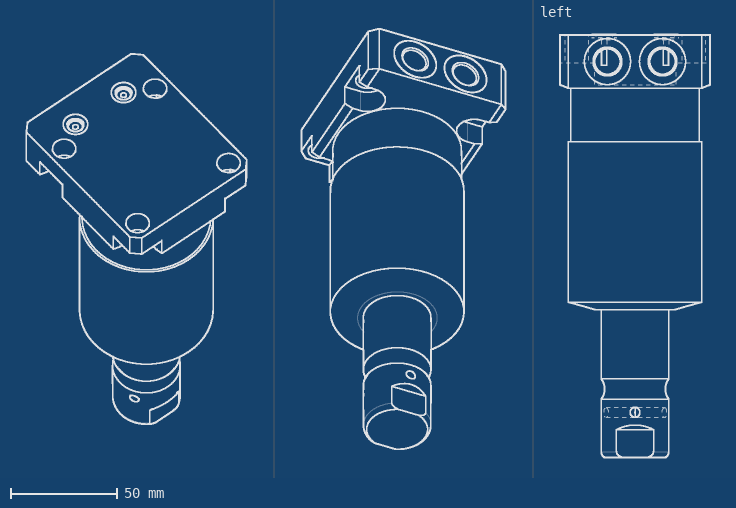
import cadquery as cq
import math


TOTAL_HEIGHT = 199.4
FLANGE_HEIGHT = 25.1
NECK_HEIGHT = 25.1
SEAL_PROTRUSION = 0.4
FLANGE_TOP = TOTAL_HEIGHT - SEAL_PROTRUSION
FLANGE_BOTTOM = FLANGE_TOP - FLANGE_HEIGHT
BODY_TOP = FLANGE_BOTTOM - NECK_HEIGHT

FLANGE_LENGTH = 85.5
FLANGE_WIDTH = 70.8
FLANGE_RIGHT = FLANGE_WIDTH / 2
FLANGE_LEFT = FLANGE_RIGHT - FLANGE_LENGTH
CORNER_CHAMFER = 4.0
BEVEL_INSET = 4.0
BEVEL_RISE = 1.5

MOUNT_OFFSET = 27.5
MOUNT_DIAMETER = 11.0
POCKET_RADIUS = 8.4
POCKET_HEIGHT = 12.0

PORT_OFFSET = 13.0
PORT_DIAMETER = 12.0
PORT_CHAMFER = 0.8
PORT_DEPTH = 14.5
SPOTFACE_DIAMETER = 21.7
SPOTFACE_DEPTH = 0.2

PASSAGE_X = -35.0
PASSAGE_OFFSET = 14.5
PASSAGE_DIAMETER = 2.5
PASSAGE_DEPTH = 14.4
SEAT_RADIUS = 5.8
SEAT_DEPTH = 1.4
RECESS_RADIUS = 3.4
RECESS_DEPTH = 2.2
SEAL_TUBE_RADIUS = 1.0
SEAL_SQUEEZE = 0.1
SEAL_MEAN_RADIUS = SEAT_RADIUS + SEAL_SQUEEZE - SEAL_TUBE_RADIUS

NECK_RADIUS = 30.3
BODY_RADIUS = 31.5
CONE_TOP = 73.2
CONE_BOTTOM = 69.5
CONE_END_RADIUS = 18.7
ROD_RADIUS = 16.0
GROOVE_TOP = 37.0
GROOVE_BOTTOM = 27.5
GROOVE_DEPTH = 1.5
TIP_ROUND_RADIUS = 3.4
TIP_INSET = 1.5

FLAT_HALF_WIDTH = 13.4
FLAT_TOP = 13.2
FLAT_RUNOUT = 2.2
CROSS_HOLE_Z = 21.3
CROSS_HOLE_DIAMETER = 4.5
CROSS_HOLE_COUNT = 3


def bevel_cutter(length):
    """Wedge along X that bevels a lower edge lying on the X axis, with material on the +Y side."""
    return (
        cq.Workplane("YZ")
        .polyline([(0, 0), (BEVEL_INSET, 0), (0, BEVEL_RISE)])
        .close()
        .extrude(length / 2, both=True)
    )


def flange_plate():
    """Plate with chamfered corners and three bevelled lower edges."""
    plate = (
        cq.Workplane("XY", origin=(FLANGE_RIGHT - FLANGE_LENGTH / 2, 0, FLANGE_BOTTOM))
        .rect(FLANGE_LENGTH, FLANGE_WIDTH)
        .extrude(FLANGE_HEIGHT)
        .edges("|Z")
        .chamfer(CORNER_CHAMFER)
    )
    edge_cutter = bevel_cutter(2 * FLANGE_LENGTH).translate((0, -FLANGE_WIDTH / 2, FLANGE_BOTTOM))
    for angle in (0, 90, 180):
        plate = plate.cut(edge_cutter.rotate((0, 0, 0), (0, 0, 1), angle))
    return plate


def mount_pocket(x, side, opens_right):
    """Pocket around a mounting hole, open to the long side and, if asked, to the right end."""
    y = side * MOUNT_OFFSET
    base = cq.Workplane("XY", origin=(x, y, FLANGE_BOTTOM))
    pocket = base.circle(POCKET_RADIUS).extrude(POCKET_HEIGHT)
    reach = 2 * POCKET_RADIUS
    slot = base.center(0, side * reach / 2).rect(2 * POCKET_RADIUS, reach).extrude(POCKET_HEIGHT)
    pocket = pocket.union(slot)
    if opens_right:
        corner = base.center(reach / 2, side * POCKET_RADIUS / 2)
        end_slot = corner.rect(reach, reach + POCKET_RADIUS).extrude(POCKET_HEIGHT)
        pocket = pocket.union(end_slot)
    return pocket


def revolved_body():
    """Neck, body, cone and grooved rod as one solid of revolution."""
    groove_middle = (GROOVE_TOP + GROOVE_BOTTOM) / 2
    tip_radius = ROD_RADIUS - TIP_INSET
    tip_angle = math.acos(1 - TIP_INSET / TIP_ROUND_RADIUS)
    tip_height = TIP_ROUND_RADIUS * math.sin(tip_angle)
    round_centre = ROD_RADIUS - TIP_ROUND_RADIUS
    tip_middle = (
        round_centre + TIP_ROUND_RADIUS * math.cos(tip_angle / 2),
        tip_height - TIP_ROUND_RADIUS * math.sin(tip_angle / 2),
    )
    return (
        cq.Workplane("XZ")
        .moveTo(0, FLANGE_BOTTOM)
        .lineTo(NECK_RADIUS, FLANGE_BOTTOM)
        .lineTo(NECK_RADIUS, BODY_TOP)
        .lineTo(BODY_RADIUS, BODY_TOP)
        .lineTo(BODY_RADIUS, CONE_TOP)
        .lineTo(CONE_END_RADIUS, CONE_BOTTOM)
        .lineTo(ROD_RADIUS, CONE_BOTTOM)
        .lineTo(ROD_RADIUS, GROOVE_TOP)
        .threePointArc((ROD_RADIUS - GROOVE_DEPTH, groove_middle), (ROD_RADIUS, GROOVE_BOTTOM))
        .lineTo(ROD_RADIUS, tip_height)
        .threePointArc(tip_middle, (tip_radius, 0))
        .lineTo(0, 0)
        .close()
        .revolve(360, (0, 0, 0), (0, 1, 0))
    )


def flat_cutter():
    """Cut for a wrench flat on the +X side of the rod, ending in a sloped run-out."""
    return (
        cq.Workplane("XZ")
        .moveTo(FLAT_HALF_WIDTH, 0)
        .lineTo(FLAT_HALF_WIDTH, FLAT_TOP)
        .lineTo(ROD_RADIUS, FLAT_TOP + FLAT_RUNOUT)
        .lineTo(ROD_RADIUS, 0)
        .close()
        .extrude(ROD_RADIUS, both=True)
    )


def port_cutter(y):
    """Chamfered blind bore with a shallow spotface, entering from the left end."""
    face = cq.Workplane("YZ", origin=(FLANGE_LEFT, y, FLANGE_BOTTOM + FLANGE_HEIGHT / 2))
    spotface = face.circle(SPOTFACE_DIAMETER / 2).extrude(SPOTFACE_DEPTH)
    bore = face.circle(PORT_DIAMETER / 2).extrude(PORT_DEPTH)
    mouth = face.workplane(offset=SPOTFACE_DEPTH).circle(PORT_DIAMETER / 2 + PORT_CHAMFER)
    mouth = mouth.workplane(offset=PORT_CHAMFER).circle(PORT_DIAMETER / 2).loft()
    return spotface.union(bore).union(mouth)


def passage_cutter(y):
    """Narrow vertical passage below a recess and a wider seat for the seal ring."""
    top = cq.Workplane("XY", origin=(PASSAGE_X, y, FLANGE_TOP))
    passage = top.circle(PASSAGE_DIAMETER / 2).extrude(-PASSAGE_DEPTH)
    recess = top.circle(RECESS_RADIUS).extrude(-RECESS_DEPTH)
    seat = top.circle(SEAT_RADIUS).extrude(-SEAT_DEPTH)
    return passage.union(recess).union(seat)


def seal_ring(y):
    """Seal ring lying in its seat and standing slightly above the top face."""
    centre = cq.Vector(PASSAGE_X, y, TOTAL_HEIGHT - SEAL_TUBE_RADIUS)
    return cq.Workplane(cq.Solid.makeTorus(SEAL_MEAN_RADIUS, SEAL_TUBE_RADIUS, centre))


flange = flange_plate()
for mount_x in (-MOUNT_OFFSET, MOUNT_OFFSET):
    for side in (-1, 1):
        flange = flange.cut(mount_pocket(mount_x, side, mount_x > 0))
mount_holes = (
    cq.Workplane("XY", origin=(0, 0, FLANGE_BOTTOM))
    .rect(2 * MOUNT_OFFSET, 2 * MOUNT_OFFSET, forConstruction=True)
    .vertices()
    .circle(MOUNT_DIAMETER / 2)
    .extrude(FLANGE_HEIGHT)
)
flange = flange.cut(mount_holes)

for side in (-1, 1):
    flange = flange.cut(port_cutter(side * PORT_OFFSET))
    flange = flange.cut(passage_cutter(side * PASSAGE_OFFSET))
    flange = flange.union(seal_ring(side * PASSAGE_OFFSET))

body = revolved_body()
for angle in (0, 180):
    body = body.cut(flat_cutter().rotate((0, 0, 0), (0, 0, 1), angle))
cross_hole = (
    cq.Workplane("YZ", origin=(0, 0, CROSS_HOLE_Z))
    .circle(CROSS_HOLE_DIAMETER / 2)
    .extrude(-ROD_RADIUS)
)
for index in range(CROSS_HOLE_COUNT):
    body = body.cut(cross_hole.rotate((0, 0, 0), (0, 0, 1), index * 360 / CROSS_HOLE_COUNT))

result = flange.union(body)